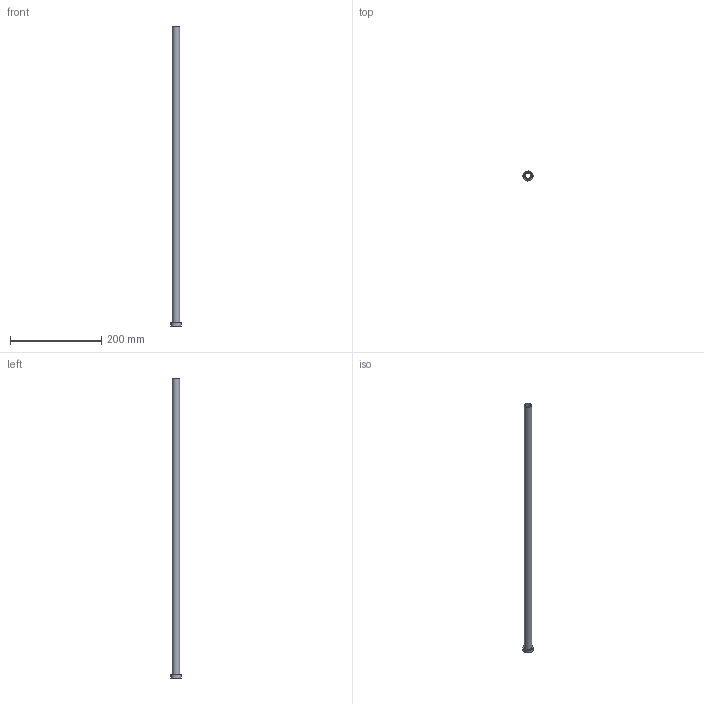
import cadquery as cq

tube_length = 650.0
head_height = 7.0
head_diameter = 22.0
tube_diameter = 16.0
bore_diameter = 12.0
shoulder_fillet = 0.5

total_length = head_height + tube_length
head_radius = head_diameter / 2
tube_radius = tube_diameter / 2
bore_radius = bore_diameter / 2


def sleeve_half_section():
    """Section of the sleeve wall in the XZ plane, on the +X side of the axis."""
    return (
        cq.Workplane("XZ")
        .moveTo(bore_radius, 0)
        .lineTo(head_radius, 0)
        .lineTo(head_radius, head_height)
        .lineTo(tube_radius + shoulder_fillet, head_height)
        .radiusArc((tube_radius, head_height + shoulder_fillet), shoulder_fillet)
        .lineTo(tube_radius, total_length)
        .lineTo(bore_radius, total_length)
        .close()
    )


result = sleeve_half_section().revolve(360, (0, 0, 0), (0, 1, 0))